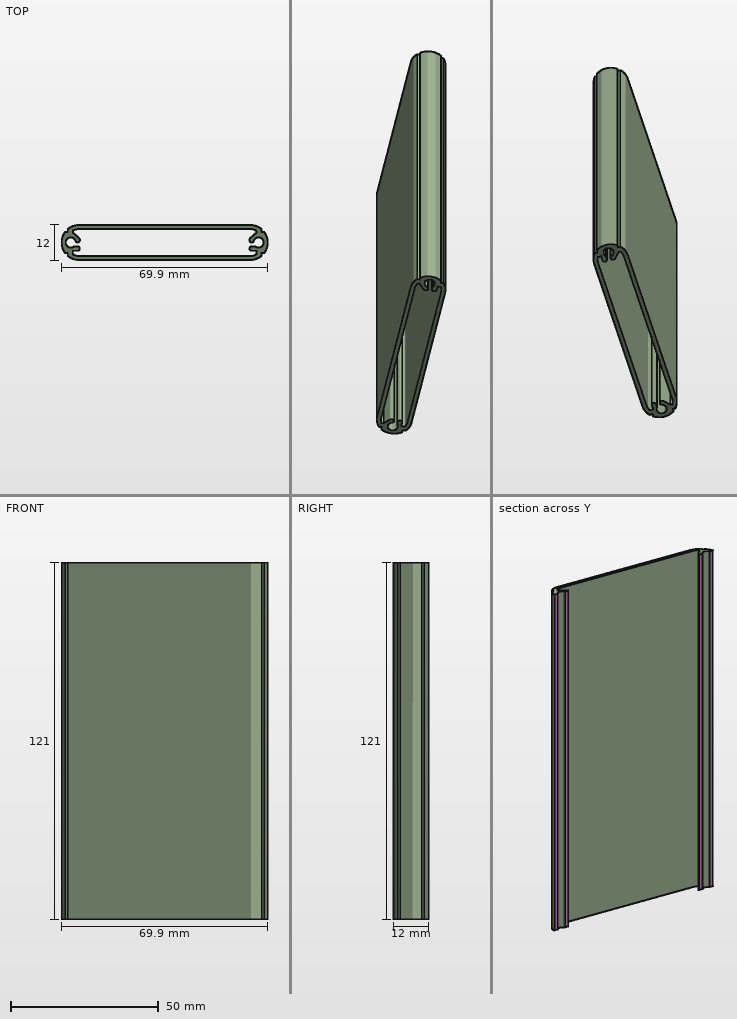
import cadquery as cq
import math

width = 69.9
depth = 12.0
height = 121.0
wall = 1.5

cavity_inset = 3.9
cavity_corner_radius = 0.5
channel_inset = 3.1
channel_radius = 1.7

step_inset = 2.0
step_half_span = 3.6

lip_root_inset = 3.6
upper_lip_tip = (5.5, 0.8)
upper_lip_angle = 42.0
upper_lip_thickness = 1.7
lower_lip_tip = (5.5, -2.0)
lower_lip_angle = 0.0
lower_lip_thickness = 1.6

end_x = width / 2


def rounded_bar(length, breadth):
    """Full-height bar with semicircular ends, centred on the Z axis."""
    return cq.Workplane("XY").slot2D(length, breadth).extrude(height)


def lip(tip, angle, thickness, side):
    """Round-ended lip running from the end wall to its tip (inset, y)."""
    tip_inset, tip_y = tip
    run = tip_inset - lip_root_inset
    slope = math.radians(angle)
    root_y = tip_y + run * math.tan(slope)
    middle_inset = (tip_inset + lip_root_inset) / 2
    length = run / math.cos(slope) + thickness
    return (
        cq.Workplane("XY")
        .center(side * (end_x - middle_inset), (tip_y + root_y) / 2)
        .slot2D(length, thickness, side * angle)
        .extrude(height)
    )


def screw_channel(side):
    return (
        cq.Workplane("XY")
        .center(side * (end_x - channel_inset), 0)
        .circle(channel_radius)
        .extrude(height)
    )


def end_step(side, direction):
    """Square corner removed from the rounded end, above or below its middle."""
    step_depth = depth / 2 - step_half_span
    return (
        cq.Workplane("XY")
        .center(
            side * (end_x - step_inset / 2),
            direction * (step_half_span + step_depth / 2),
        )
        .rect(step_inset, step_depth)
        .extrude(height)
    )


cavity_limits = cq.Workplane("XY").rect(width - 2 * cavity_inset, depth).extrude(height)
cavity = rounded_bar(width - 2 * wall, depth - 2 * wall).intersect(cavity_limits)
cavity = cavity.faces("<X or >X").edges("|Z").fillet(cavity_corner_radius)
result = rounded_bar(width, depth).cut(cavity)

for side in (-1, 1):
    result = result.union(lip(upper_lip_tip, upper_lip_angle, upper_lip_thickness, side))
    result = result.union(lip(lower_lip_tip, lower_lip_angle, lower_lip_thickness, side))
    result = result.cut(screw_channel(side))
    for direction in (-1, 1):
        result = result.cut(end_step(side, direction))